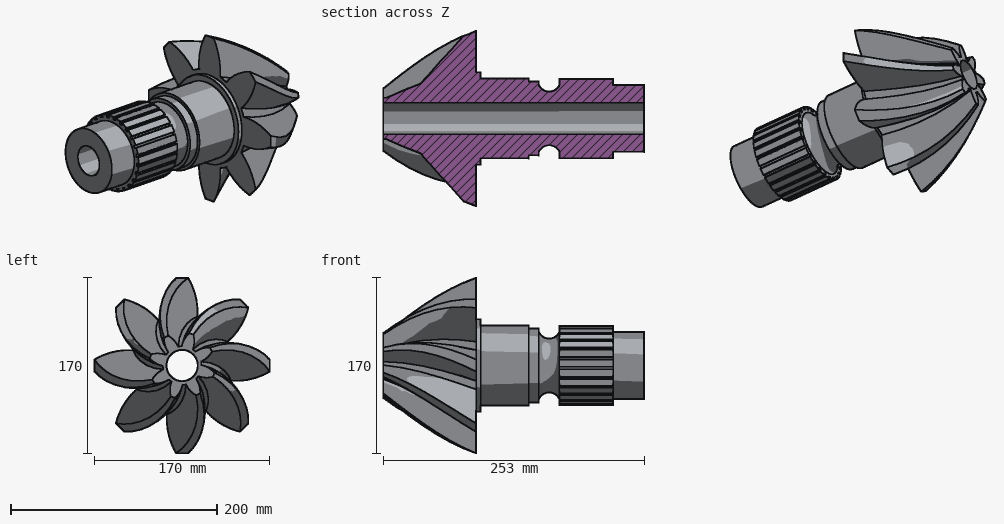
import cadquery as cq
import math

gear_length = 90.0
flange_end = 94.5
bearing_seat_end = 141.2
collar_end = 151.0
spline_start = 170.8
spline_end = 223.0
total_length = 253.0

bore_diameter = 30.0
flange_diameter = 90.0
bearing_seat_diameter = 78.0
collar_diameter = 72.0
neck_diameter = 52.4
end_journal_diameter = 65.0

spline_count = 25
spline_across_flats = 77.0
spline_groove_width = 2.5
spline_groove_depth = 2.5

tooth_count = 8
tip_height = 85.0
tip_half_width = 5.8
flank_mid_height = 68.3
flank_mid_half_width = 13.0
root_height = 47.5
root_half_width = 15.0

small_end_scale = 0.375
mid_scale = 0.745
spiral_angle = 29.0
section_count = 7


def turn(offset, height, angle):
    """Point in the YZ plane at (offset, height), turned from +Z towards +Y by the angle in degrees."""
    a = math.radians(angle)
    return (
        offset * math.cos(a) + height * math.sin(a),
        height * math.cos(a) - offset * math.sin(a),
    )


def section_scale(t):
    """Quadratic growth from the small end (t = 0) to the large end (t = 1)."""
    return (
        small_end_scale * (1 - t) * (1 - 2 * t)
        + mid_scale * 4 * t * (1 - t)
        + t * (2 * t - 1)
    )


def gear_wire(t):
    """Closed eight-tooth outline at the fraction t of the gear length."""
    scale = section_scale(t)
    rotation = spiral_angle * (1 - t)
    outline = cq.Workplane("YZ", origin=(gear_length * t, 0, 0))
    for tooth in range(tooth_count):
        angle = 360 / tooth_count * tooth + rotation

        def point(offset, height):
            return turn(offset * scale, height * scale, angle)

        left_root = point(-root_half_width, root_height)
        if tooth == 0:
            outline = outline.moveTo(*left_root)
        else:
            outline = outline.lineTo(*left_root)
        outline = (
            outline.threePointArc(point(-flank_mid_half_width, flank_mid_height),
                                  point(-tip_half_width, tip_height))
            .lineTo(*point(tip_half_width, tip_height))
            .threePointArc(point(flank_mid_half_width, flank_mid_height),
                           point(root_half_width, root_height))
        )
    return outline.close().val()


def make_gear():
    """Smooth loft through evenly spaced tooth outlines."""
    wires = [gear_wire(i / (section_count - 1)) for i in range(section_count)]
    return cq.Workplane(cq.Solid.makeLoft(wires))


def make_stem():
    """Stepped shaft with an arc-shaped neck between the collar and the splines."""
    neck_middle = (collar_end + spline_start) / 2
    return (
        cq.Workplane("XY")
        .moveTo(gear_length, 0)
        .lineTo(gear_length, flange_diameter / 2)
        .lineTo(flange_end, flange_diameter / 2)
        .lineTo(flange_end, bearing_seat_diameter / 2)
        .lineTo(bearing_seat_end, bearing_seat_diameter / 2)
        .lineTo(bearing_seat_end, collar_diameter / 2)
        .lineTo(collar_end, collar_diameter / 2)
        .lineTo(collar_end, end_journal_diameter / 2)
        .threePointArc((neck_middle, neck_diameter / 2), (spline_start, end_journal_diameter / 2))
        .lineTo(total_length, end_journal_diameter / 2)
        .lineTo(total_length, 0)
        .close()
        .revolve(360, (0, 0, 0), (1, 0, 0))
    )


def make_spline_body():
    """Prism whose flat sides are the spline crests, with a corner in every groove."""
    corner_diameter = spline_across_flats / math.cos(math.pi / spline_count)
    return (
        cq.Workplane("YZ", origin=(spline_start, 0, 0))
        .polygon(spline_count, corner_diameter)
        .extrude(spline_end - spline_start)
        .rotate((0, 0, 0), (1, 0, 0), -90)
    )


def make_spline_grooves():
    """Rectangular grooves around the splined length, the first one facing -Z."""
    groove_length = spline_end - spline_start
    first = (
        cq.Workplane("XY")
        .box(groove_length, spline_groove_width, 2 * spline_groove_depth)
        .translate((spline_start + groove_length / 2, 0, -spline_across_flats / 2))
    )
    grooves = cq.Workplane("XY")
    for i in range(spline_count):
        grooves = grooves.add(first.rotate((0, 0, 0), (1, 0, 0), i * 360 / spline_count))
    return grooves.combine()


bore = cq.Workplane("YZ").circle(bore_diameter / 2).extrude(total_length)
splines = make_spline_body().cut(make_spline_grooves())
result = make_gear().union(make_stem()).union(splines).cut(bore)